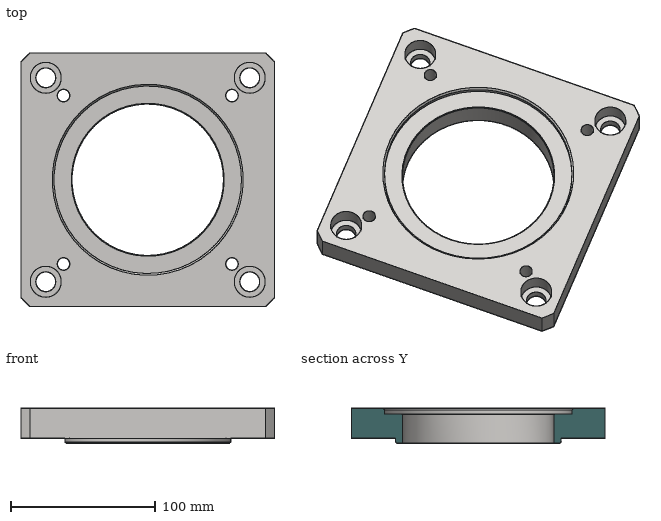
import cadquery as cq
import math

plate_side = 176.0
total_height = 24.5
spigot_height = 3.5
plate_thickness = total_height - spigot_height
corner_turn_radius = 120.0

bore_diameter = 104.9
bore_chamfer = 0.5
recess_diameter = 129.9
recess_depth = 4.0
recess_chamfer = 1.2

spigot_diameter = 115.1
spigot_chamfer = 1.0

screw_circle_diameter = 200.0
screw_hole_diameter = 13.5
counterbore_diameter = 21.5
counterbore_depth = 14.0
small_circle_diameter = 165.0
small_hole_diameter = 8.5


def disc(diameter, bottom, height):
    """Cylinder on the Z axis, standing on the level bottom."""
    return cq.Workplane("XY").workplane(offset=bottom).circle(diameter / 2).extrude(height)


def diagonal_points(circle_diameter):
    """One point on each plate diagonal, all on a common circle."""
    offset = circle_diameter / 2 / math.sqrt(2)
    return [(x, y) for x in (-offset, offset) for y in (-offset, offset)]


def make_plate():
    square = cq.Workplane("XY").rect(plate_side, plate_side).extrude(plate_thickness)
    return square.intersect(disc(2 * corner_turn_radius, 0, plate_thickness))


def make_spigot():
    spigot = disc(spigot_diameter, -spigot_height, spigot_height)
    return spigot.faces("<Z").chamfer(spigot_chamfer)


def make_recess():
    """Shallow seat in the top face, with a chamfered mouth."""
    recess = disc(recess_diameter, plate_thickness - recess_depth, recess_depth)
    mouth = (
        cq.Workplane("XY")
        .workplane(offset=plate_thickness - recess_chamfer)
        .circle(recess_diameter / 2)
        .workplane(offset=recess_chamfer)
        .circle(recess_diameter / 2 + recess_chamfer)
        .loft(combine=True)
    )
    return recess.union(mouth)


def make_bore():
    """Through bore, chamfered where it meets the recess floor."""
    recess_floor = plate_thickness - recess_depth
    bore = disc(bore_diameter, -spigot_height, total_height - recess_depth)
    mouth = (
        cq.Workplane("XY")
        .workplane(offset=recess_floor - bore_chamfer)
        .circle(bore_diameter / 2)
        .workplane(offset=bore_chamfer)
        .circle(bore_diameter / 2 + bore_chamfer)
        .loft(combine=True)
    )
    return bore.union(mouth)


body = make_plate().union(make_spigot()).cut(make_recess()).cut(make_bore())

top = body.faces(">Z").workplane(origin=(0, 0, plate_thickness))
body = top.pushPoints(diagonal_points(screw_circle_diameter)).cboreHole(
    screw_hole_diameter, counterbore_diameter, counterbore_depth
)

top = body.faces(">Z").workplane(origin=(0, 0, plate_thickness))
result = top.pushPoints(diagonal_points(small_circle_diameter)).hole(small_hole_diameter)